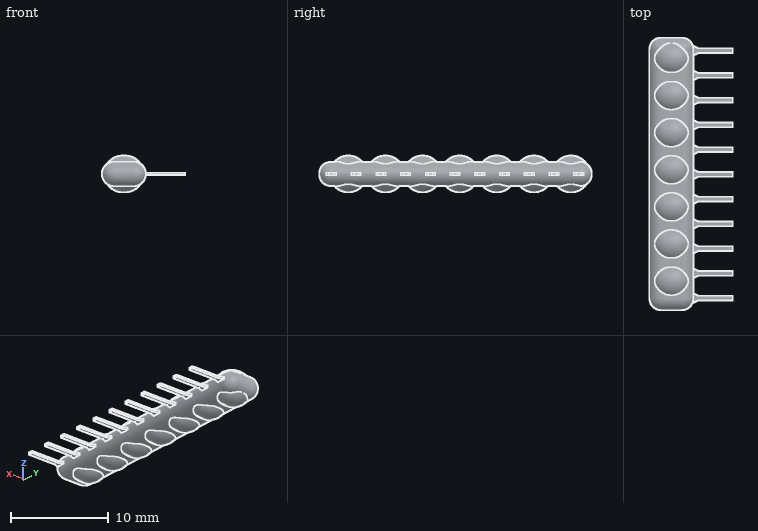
import cadquery as cq

BODY_WIDTH = 4.55
BODY_LENGTH = 28.0
BODY_HEIGHT = 2.5
BODY_END_RADIUS = 1.2

BULGE_COUNT = 7
BULGE_PITCH = 3.81
BULGE_RADIUS = 1.905
BULGE_MIDDLE_LENGTH = 0.254
BULGE_ROW_OFFSET = 0.43

PIN_COUNT = 11
PIN_PITCH = 2.54
PIN_WIDTH = 0.51
PIN_THICKNESS = 0.254
PIN_PROJECTION = 4.03
PIN_EMBEDDED_LENGTH = 0.5
PIN_ROW_OFFSET = -0.045
FLARE_WIDTH = 1.0
FLARE_LENGTH = 0.5
FLARE_OVERLAP = 0.02


def row_positions(count, pitch, centre=0.0):
    """Y positions of an evenly spaced row about its centre."""
    return [centre + (i - (count - 1) / 2) * pitch for i in range(count)]


def make_body():
    """Bar with fully rounded long sides and filleted ends."""
    bar = cq.Workplane("XZ").slot2D(BODY_WIDTH, BODY_HEIGHT).extrude(BODY_LENGTH / 2, both=True)
    return bar.faces("<Y or >Y").edges().fillet(BODY_END_RADIUS)


def make_bulge(y):
    """Capsule lying along X, standing out of the top and bottom of the body."""
    half_middle = BULGE_MIDDLE_LENGTH / 2
    half_length = half_middle + BULGE_RADIUS
    return (
        cq.Workplane("XY")
        .moveTo(-half_length, 0)
        .radiusArc((-half_middle, BULGE_RADIUS), BULGE_RADIUS)
        .lineTo(half_middle, BULGE_RADIUS)
        .radiusArc((half_length, 0), BULGE_RADIUS)
        .close()
        .revolve(360, (0, 0, 0), (1, 0, 0))
        .translate((0, y, 0))
    )


def make_pin(y):
    """Flat pin, wide at the body face and tapering to the pin width, with a tail inside the body."""
    face_x = BODY_WIDTH / 2
    root_x = face_x - PIN_EMBEDDED_LENGTH
    flare_start_x = face_x - FLARE_OVERLAP
    flare_end_x = face_x + FLARE_LENGTH
    tip_x = face_x + PIN_PROJECTION
    lower_edge = [
        (root_x, -PIN_WIDTH / 2),
        (flare_start_x, -PIN_WIDTH / 2),
        (flare_start_x, -FLARE_WIDTH / 2),
        (flare_end_x, -PIN_WIDTH / 2),
        (tip_x, -PIN_WIDTH / 2),
    ]
    upper_edge = [(x, -edge_y) for x, edge_y in reversed(lower_edge)]
    outline = lower_edge + upper_edge
    plate = cq.Workplane("XY").polyline(outline).close().extrude(PIN_THICKNESS / 2, both=True)
    return plate.translate((0, y, 0))


result = make_body()
for bulge_y in row_positions(BULGE_COUNT, BULGE_PITCH, BULGE_ROW_OFFSET):
    result = result.union(make_bulge(bulge_y))
for pin_y in row_positions(PIN_COUNT, PIN_PITCH, PIN_ROW_OFFSET):
    result = result.union(make_pin(pin_y))